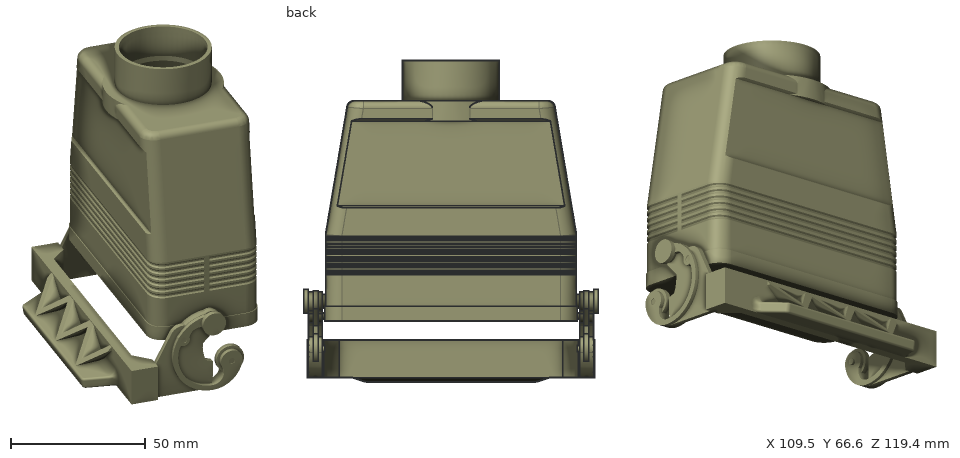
import cadquery as cq
import math


OVERALL_WIDTH = 109.5
CLEARANCE = 1.2
FACE_TOLERANCE = 0.1

BODY_HALF_X = 46.5
BODY_HALF_Y = 21.5
BODY_TOP = 81.9
BODY_TOP_HALF_X = 38.2
SHOULDER_Z = 32.2
CORNER_RADIUS = 6.0
TOP_FILLET = 2.9
FOOT_HEIGHT = 5.5
FOOT_STEP = 0.4

PANEL_BOTTOM = 42.9
PANEL_TOP = 74.2
PANEL_DEPTH = 1.1
PANEL_SLOPE_HEIGHT = 0.8

ENTRY_TOP = 96.8
ENTRY_RADIUS = 18.0
ENTRY_BORE_RADIUS = 15.2
SOCKET_RADIUS = 16.5
SOCKET_DEPTH = 12.3
COLLAR_RADIUS = 22.6

GROOVE_COUNT = 6
GROOVE_PITCH = 2.5
GROOVE_WIDTH = 1.7
GROOVE_DEPTH = 0.5
GROOVE_FLOOR_WIDTH = 0.6
LOWEST_GROOVE_Z = 18.1
GROOVE_GAP = 2.0

PIVOT_Z = 7.4
PIVOT_CAP_RADIUS = 4.5
PIVOT_BOSS_RADIUS = 3.6
PIVOT_PLATE_RADIUS = 3.9
PIVOT_SHAFT_RADIUS = 2.6
PIVOT_CAP_END = OVERALL_WIDTH / 2

HOOK_INNER_X = 47.7
HOOK_OUTER_X = 52.9
PLATE_INNER_X = 49.2
PLATE_OUTER_X = 51.2
HOOK_CENTER_Z = -5.1
HOOK_RADIUS = 15.8
HOOK_WIDTH = 2.0
HOOK_INNER_MID_ANGLE = 220
HOOK_INNER_END_ANGLE = 165
RIM_END_ANGLE = 130
RIM_MID_ANGLE = 110
PLATE_RIM = 0.1
EYE_Y = 7.5
EYE_Z = -10.1
EYE_RADIUS = 4.3
EYE_PLATE_RADIUS = 5.5
RIVET_RADIUS = 1.2
RIVET_INNER_X = 46.8
RIVET_RECESS = 0.2
RIVET_Y = -11.5
RIVET_Z = 1.9
RIVET_PAD_RADIUS = 2.4

HOOK_BACK = (9.3, -16.4)
THROAT_TOP = (4.4, -13.1)
THROAT_SIDE = (4.4, -15.0)
THROAT_CURVE = (3.1, -17.5)
PAD_SIDE = (-9.3, 2.3)
SHOULDER_CURVE = (-7.6, 5.4)
SHOULDER_END = (-4.4, 6.2)
JAW_NECK = (2.9, 4.5)
JAW_NOTCH = (-3.3, -1.7)
JAW_CURVE = (-3.1, -5.7)
JAW_CURVE_END = (-2.1, -8.8)
JAW_LIP_TOP = (0.6, -9.8)
JAW_LIP_BOTTOM = (0.6, -16.1)
WEB_CORNER = (-15.6, 4.8)
WEB_CURVE = (-13.7, 6.6)

BAR_HALF_X = 53.4
BAR_BACK_Y = -21.8
BAR_FRONT_Y = -32.3
BAR_TOP = -6.9
BAR_BOTTOM = HOOK_CENTER_Z - HOOK_RADIUS
BAR_RELIEF_Y = -27.9
BAR_RELIEF_HALF_X = 41.4
BAR_RELIEF_MOUTH_HALF_X = 47.3

GRIP_TILT = 9.1
GRIP_THICKNESS = 4.2
GRIP_LENGTH = 11.3
GRIP_ROOT_HALF_X = 37.5
GRIP_TIP_HALF_X = 32.1
GRIP_CORNER_RADIUS = 1.8
GRIP_EDGE_FILLET = 0.8
GRIP_ROOT_FILLET = 3.0

RIB_COUNT = 3
RIB_PITCH = 21.5
RIB_HALF_SPAN = 32.0
RIB_VALLEY_Z = -18.5
RIB_PEAK_Z = -9.0
RIB_FRONT_TOP = -7.3
RIB_TIP_Y = -42.9
HOLLOW_BACK_Z = -14.5
HOLLOW_SLOPE = 0.8
HOLLOW_TILT = 9.3


def x_cylinder(radius, y, z, start, end):
    return cq.Workplane("YZ", origin=(start, 0, 0)).center(y, z).circle(radius).extrude(end - start)


def both_ends(solid):
    return solid.union(solid.mirror("YZ"))


def rounded_block(half_x, half_y, radius, bottom, height):
    block = cq.Workplane("XY", origin=(0, 0, bottom)).rect(2 * half_x, 2 * half_y).extrude(height)
    return block.edges("|Z").fillet(radius)


def make_body():
    profile = [
        (-BODY_HALF_X, 0),
        (BODY_HALF_X, 0),
        (BODY_HALF_X, SHOULDER_Z),
        (BODY_TOP_HALF_X, BODY_TOP),
        (-BODY_TOP_HALF_X, BODY_TOP),
        (-BODY_HALF_X, SHOULDER_Z),
    ]
    body = cq.Workplane("XZ").polyline(profile).close().extrude(BODY_HALF_Y, both=True)
    body = body.edges("not (#Z or |Y)").fillet(CORNER_RADIUS)
    body = body.edges(">Z").fillet(TOP_FILLET)
    foot = rounded_block(
        BODY_HALF_X + FOOT_STEP, BODY_HALF_Y + FOOT_STEP, CORNER_RADIUS + FOOT_STEP, 0, FOOT_HEIGHT
    )
    return body.union(foot)


def make_panel_cutter():
    floor_y = BODY_HALF_Y - PANEL_DEPTH
    profile = [
        (floor_y, PANEL_BOTTOM),
        (BODY_HALF_Y, PANEL_BOTTOM - PANEL_SLOPE_HEIGHT),
        (BODY_HALF_Y, PANEL_TOP + PANEL_SLOPE_HEIGHT),
        (floor_y, PANEL_TOP),
    ]
    cutter = cq.Workplane("YZ").polyline(profile).close().extrude(BODY_HALF_X, both=True)
    return cutter.union(cutter.mirror("XZ"))


def make_groove_cutter(z):
    """Ring with sloped sides that leaves a plain strip on each end of the body."""
    half_width = GROOVE_WIDTH / 2
    side_height = (GROOVE_WIDTH - GROOVE_FLOOR_WIDTH) / 2
    slab = cq.Workplane("XY", origin=(0, 0, z - half_width))
    slab = slab.rect(2 * (BODY_HALF_X + CLEARANCE), 2 * (BODY_HALF_Y + CLEARANCE)).extrude(GROOVE_WIDTH)
    taper = math.degrees(math.atan(GROOVE_DEPTH / side_height))
    outline = rounded_block(BODY_HALF_X, BODY_HALF_Y, CORNER_RADIUS, z - half_width, GROOVE_WIDTH)
    lower_core = outline.faces("<Z").wires().toPending().workplane(invert=True).extrude(
        side_height, taper=taper, combine=False
    )
    middle_core = rounded_block(
        BODY_HALF_X - GROOVE_DEPTH,
        BODY_HALF_Y - GROOVE_DEPTH,
        CORNER_RADIUS - GROOVE_DEPTH,
        z - half_width,
        GROOVE_WIDTH,
    )
    core = middle_core.union(lower_core).union(lower_core.mirror("XY", (0, 0, z)))
    strip = cq.Workplane("XY", origin=(0, 0, z)).box(
        2 * (BODY_HALF_X + CLEARANCE), GROOVE_GAP, GROOVE_WIDTH
    )
    return slab.cut(core).cut(strip)


def make_hood():
    hood = make_body().cut(make_panel_cutter())
    for index in range(GROOVE_COUNT):
        hood = hood.cut(make_groove_cutter(LOWEST_GROOVE_Z + index * GROOVE_PITCH))
    entry = cq.Workplane("XY", origin=(0, 0, PANEL_TOP))
    hood = hood.union(entry.circle(COLLAR_RADIUS).extrude(BODY_TOP - PANEL_TOP))
    hood = hood.union(entry.circle(ENTRY_RADIUS).extrude(ENTRY_TOP - PANEL_TOP))
    seat_z = ENTRY_TOP - SOCKET_DEPTH
    seat_height = SOCKET_RADIUS - ENTRY_BORE_RADIUS
    bore_profile = [
        (0, 0),
        (ENTRY_BORE_RADIUS, 0),
        (ENTRY_BORE_RADIUS, seat_z - seat_height),
        (SOCKET_RADIUS, seat_z),
        (SOCKET_RADIUS, ENTRY_TOP),
        (0, ENTRY_TOP),
    ]
    bore = cq.Workplane("XZ").polyline(bore_profile).close().revolve(360, (0, 0), (0, 1))
    return hood.cut(bore)


def on_hook_circle(radius, angle):
    """Point at an angle from +Y on a circle around the hook centre."""
    turn = math.radians(angle)
    return (radius * math.cos(turn), HOOK_CENTER_Z + radius * math.sin(turn))


def make_hook():
    inner_radius = HOOK_RADIUS - HOOK_WIDTH
    hook = (
        cq.Workplane("YZ", origin=(HOOK_INNER_X, 0, 0))
        .moveTo(*on_hook_circle(HOOK_RADIUS, 90))
        .threePointArc(on_hook_circle(HOOK_RADIUS, 180), on_hook_circle(HOOK_RADIUS, 270))
        .threePointArc(HOOK_BACK, (EYE_Y + EYE_RADIUS, EYE_Z))
        .lineTo(EYE_Y, EYE_Z)
        .lineTo(*THROAT_TOP)
        .lineTo(*THROAT_SIDE)
        .threePointArc(THROAT_CURVE, on_hook_circle(inner_radius, 270))
        .threePointArc(
            on_hook_circle(inner_radius, HOOK_INNER_MID_ANGLE),
            on_hook_circle(inner_radius, HOOK_INNER_END_ANGLE),
        )
        .lineTo(RIVET_Y, RIVET_Z)
        .lineTo(*PAD_SIDE)
        .threePointArc(SHOULDER_CURVE, SHOULDER_END)
        .lineTo(0, PIVOT_Z)
        .close()
        .extrude(HOOK_OUTER_X - HOOK_INNER_X)
    )
    hook = hook.union(x_cylinder(EYE_RADIUS, EYE_Y, EYE_Z, HOOK_INNER_X, HOOK_OUTER_X))
    hook = hook.union(x_cylinder(RIVET_PAD_RADIUS, RIVET_Y, RIVET_Z, HOOK_INNER_X, HOOK_OUTER_X))
    return hook.union(x_cylinder(PIVOT_BOSS_RADIUS, 0, PIVOT_Z, HOOK_INNER_X, HOOK_OUTER_X))


def make_centre_plate():
    rim_radius = HOOK_RADIUS + PLATE_RIM
    plate = (
        cq.Workplane("YZ", origin=(PLATE_INNER_X, 0, 0))
        .moveTo(0, PIVOT_Z)
        .lineTo(*JAW_NECK)
        .lineTo(*JAW_NOTCH)
        .threePointArc(JAW_CURVE, JAW_CURVE_END)
        .lineTo(*JAW_LIP_TOP)
        .lineTo(*JAW_LIP_BOTTOM)
        .lineTo(0, BAR_BOTTOM)
        .lineTo(BAR_BACK_Y, BAR_BOTTOM)
        .lineTo(BAR_BACK_Y, BAR_TOP)
        .lineTo(*WEB_CORNER)
        .threePointArc(WEB_CURVE, on_hook_circle(rim_radius, RIM_END_ANGLE))
        .threePointArc(on_hook_circle(rim_radius, RIM_MID_ANGLE), on_hook_circle(rim_radius, 90))
        .close()
        .extrude(PLATE_OUTER_X - PLATE_INNER_X)
    )
    plate = plate.union(x_cylinder(PIVOT_PLATE_RADIUS, 0, PIVOT_Z, PLATE_INNER_X, PLATE_OUTER_X))
    return plate.union(x_cylinder(EYE_PLATE_RADIUS, EYE_Y, EYE_Z, PLATE_INNER_X, PLATE_OUTER_X))


def make_arm():
    arm = make_centre_plate().union(make_hook())
    for y, z in [(RIVET_Y, RIVET_Z), (EYE_Y, EYE_Z)]:
        arm = arm.union(x_cylinder(RIVET_RADIUS, y, z, RIVET_INNER_X, PLATE_INNER_X))
        arm = arm.cut(x_cylinder(RIVET_RADIUS, y, z, HOOK_OUTER_X - RIVET_RECESS, HOOK_OUTER_X))
    arm = arm.union(x_cylinder(PIVOT_SHAFT_RADIUS, 0, PIVOT_Z, BODY_HALF_X - CLEARANCE, HOOK_INNER_X))
    return arm.union(x_cylinder(PIVOT_CAP_RADIUS, 0, PIVOT_Z, HOOK_OUTER_X, PIVOT_CAP_END))


def make_bar():
    outline = [
        (-BAR_HALF_X, BAR_FRONT_Y),
        (BAR_HALF_X, BAR_FRONT_Y),
        (BAR_HALF_X, BAR_BACK_Y),
        (BAR_RELIEF_MOUTH_HALF_X, BAR_BACK_Y),
        (BAR_RELIEF_HALF_X, BAR_RELIEF_Y),
        (-BAR_RELIEF_HALF_X, BAR_RELIEF_Y),
        (-BAR_RELIEF_MOUTH_HALF_X, BAR_BACK_Y),
        (-BAR_HALF_X, BAR_BACK_Y),
    ]
    bar = cq.Workplane("XY", origin=(0, 0, BAR_BOTTOM)).polyline(outline).close()
    return bar.extrude(BAR_TOP - BAR_BOTTOM)


def make_grip():
    """Tapering slab, tilted down about the lower front edge of the bar."""
    spread = CLEARANCE * (GRIP_ROOT_HALF_X - GRIP_TIP_HALF_X) / GRIP_LENGTH
    tip_y = BAR_FRONT_Y - GRIP_LENGTH
    outline = [
        (-GRIP_ROOT_HALF_X - spread, BAR_FRONT_Y + CLEARANCE),
        (GRIP_ROOT_HALF_X + spread, BAR_FRONT_Y + CLEARANCE),
        (GRIP_TIP_HALF_X, tip_y),
        (-GRIP_TIP_HALF_X, tip_y),
    ]
    slab = cq.Workplane("XY", origin=(0, 0, BAR_BOTTOM)).polyline(outline).close().extrude(GRIP_THICKNESS)
    slab = slab.edges("|Z and <Y").fillet(GRIP_CORNER_RADIUS)
    slab = slab.faces(">Z").edges("not >Y").fillet(GRIP_EDGE_FILLET)
    return slab.rotate((0, BAR_FRONT_Y, BAR_BOTTOM), (1, BAR_FRONT_Y, BAR_BOTTOM), GRIP_TILT)


def make_bar_with_grip():
    bar = make_bar().union(make_grip())
    root = cq.selectors.BoxSelector(
        (-BAR_HALF_X + CLEARANCE, BAR_FRONT_Y - FACE_TOLERANCE, BAR_BOTTOM + CLEARANCE),
        (BAR_HALF_X - CLEARANCE, BAR_FRONT_Y + FACE_TOLERANCE, BAR_TOP - CLEARANCE),
    )
    bar = bar.edges(root).fillet(GRIP_ROOT_FILLET)
    return bar.edges("<Z").fillet(GRIP_EDGE_FILLET)


def make_ribs():
    """Row of V-shaped ribs, hollow above and cut off along a slope from the bar to the grip."""
    zigzag = [(-RIB_HALF_SPAN, RIB_PEAK_Z)]
    centers = [(index - (RIB_COUNT - 1) / 2) * RIB_PITCH for index in range(RIB_COUNT)]
    for center in centers:
        zigzag.append((center, RIB_VALLEY_Z))
        zigzag.append((center + RIB_PITCH / 2, RIB_PEAK_Z))
    zigzag[-1] = (RIB_HALF_SPAN, RIB_PEAK_Z)
    depth = BAR_FRONT_Y - RIB_TIP_Y
    ribs = (
        cq.Workplane("XZ", origin=(0, RIB_TIP_Y, 0))
        .polyline([(-RIB_HALF_SPAN, BAR_TOP)] + zigzag + [(RIB_HALF_SPAN, BAR_TOP)])
        .close()
        .extrude(-depth)
    )
    slope_cut = [
        (BAR_FRONT_Y, BAR_TOP),
        (BAR_FRONT_Y, RIB_FRONT_TOP),
        (RIB_TIP_Y, RIB_VALLEY_Z),
        (RIB_TIP_Y, BAR_TOP),
    ]
    ribs = ribs.cut(cq.Workplane("YZ").polyline(slope_cut).close().extrude(RIB_HALF_SPAN, both=True))
    hollow_top = BAR_TOP + 2 * CLEARANCE
    hollow_half_width = (hollow_top - HOLLOW_BACK_Z) / HOLLOW_SLOPE
    hollow = (
        cq.Workplane("XZ", origin=(0, BAR_BACK_Y, 0))
        .polyline([(0, HOLLOW_BACK_Z), (hollow_half_width, hollow_top), (-hollow_half_width, hollow_top)])
        .close()
        .extrude(BAR_BACK_Y - RIB_TIP_Y)
        .rotate((0, BAR_FRONT_Y, HOLLOW_BACK_Z), (1, BAR_FRONT_Y, HOLLOW_BACK_Z), HOLLOW_TILT)
    )
    for center in centers:
        ribs = ribs.cut(hollow.translate((center, 0, 0)))
    return ribs


lever = both_ends(make_arm()).union(make_bar_with_grip()).union(make_ribs())
result = make_hood().union(lever)